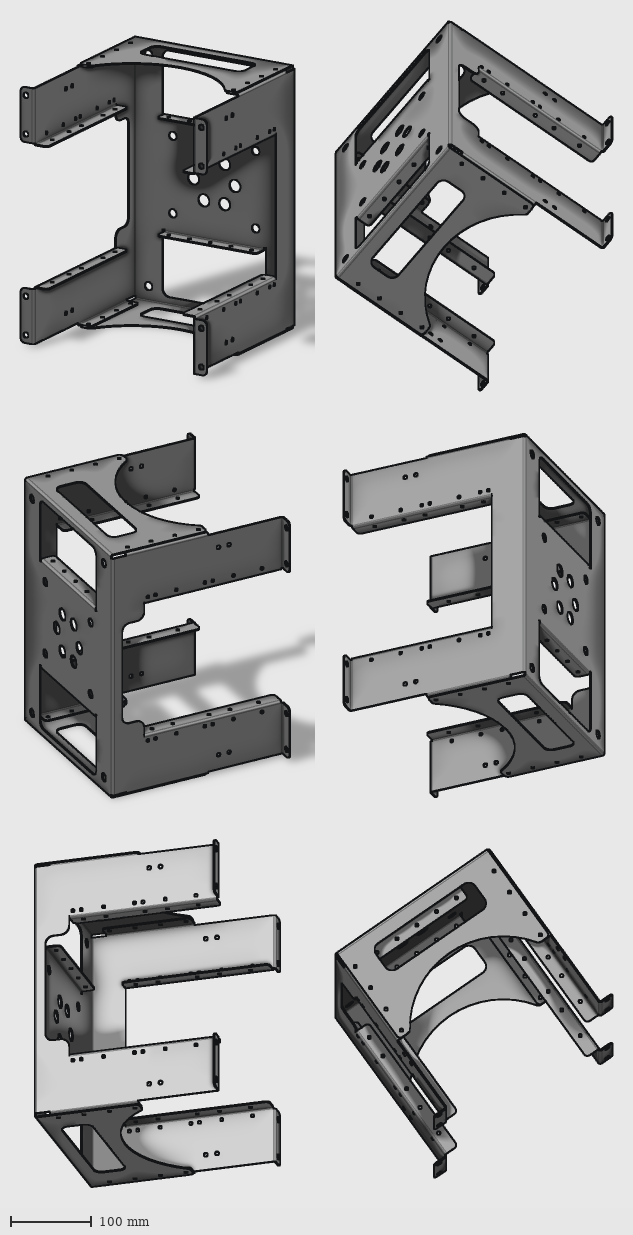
import cadquery as cq
import math

overall_width = 270.0
overall_depth = 240.0
overall_height = 341.2

sheet = 1.77
inner_bend = 1.3
outer_bend = inner_bend + sheet
corner_radius = 5.0
small_hole = 4.0

arc_middle = math.sqrt(0.5)

body_width = 234.0
flange_reach = (overall_width - body_width) / 2 + sheet
wall_half_height = overall_height / 2 - sheet - outer_bend
wall_edge_depth = overall_depth - outer_bend
end_plate_width = body_width - 2 * outer_bend
end_plate_depth = 134.8

arm_gap_half_height = 94.5
arm_gap_depth = 45.5
arm_mid_height = (arm_gap_half_height + wall_half_height) / 2

relief_depth = 14.7
relief_half_height = 70.3
relief_inner_radius = 10.0
relief_outer_radius = 11.0

opening_width = 150.0
opening_radius = 10.0
back_opening_top = 159.7
back_flange_height = 77.0
notch_width = 3.0
notch_bottom = 73.0
slot_start = 20.0
slot_end = 60.0
arch_depth = 81.2
arch_radius = 115.5

corner_hole_x = 95.2
corner_hole_z = 150.0
inner_hole_x = 60.0
inner_hole_z = 50.0
mount_hole = 11.0
ring_radius = 30.0
ring_hole = 16.0
ring_count = 6

back_flange_hole_count = 5
back_flange_hole_step = 30.0
back_flange_hole_inset = 11.0

arm_flange_hole_depths = (61.0, 90.0, 141.0, 170.0, 210.0)
wall_only_hole_depths = (50.0, 130.0)
arm_flange_hole_inset = 10.0
wall_hole_height = 100.5
pair_hole_depths = (149.0, 163.8)
pair_hole_height = 145.5
pair_hole = 5.0

joint_start = 20.0
joint_hole_count = 4
joint_hole_step = 33.0
joint_hole_inset = 12.0
joint_middle = -(joint_start + end_plate_depth) / 2

foot_hole = 7.0
foot_hole_count = 2
foot_hole_spacing = 50.0
foot_hole_inset = 12.0
foot_radius = 6.0


def u_channel(width, depth, length):
    """U-shaped sheet along Z: base on y = 0, both legs reaching to y = -depth."""
    outer = (
        cq.Workplane("XY")
        .box(width, depth, length)
        .edges("|Z and >Y")
        .fillet(outer_bend)
    )
    inner = (
        cq.Workplane("XY")
        .box(width - 2 * sheet, depth, length)
        .edges("|Z and >Y")
        .fillet(inner_bend)
        .translate((0, -sheet, 0))
    )
    return outer.cut(inner).translate((0, -depth / 2, 0))


def folded_flange(plane, length, hole_places, hole_inset, hole_diameter, radius):
    """Flange folded off a sheet edge.

    In the plane, the sheet face on the outside of the bend is x = 0, the sheet ends at y = 0
    and the flange folds toward +x. It runs along the plane normal, centred on the origin,
    with holes at the given places along that normal.
    """
    flange = (
        cq.Workplane("XY")
        .moveTo(0, 0)
        .threePointArc((outer_bend * (1 - arc_middle), outer_bend * arc_middle), (outer_bend, outer_bend))
        .lineTo(flange_reach, outer_bend)
        .lineTo(flange_reach, inner_bend)
        .lineTo(outer_bend, inner_bend)
        .threePointArc((outer_bend - inner_bend * arc_middle, inner_bend * arc_middle), (sheet, 0))
        .close()
        .extrude(length / 2, both=True)
        .edges("|Y and >X")
        .fillet(radius)
    )
    holes = (
        cq.Workplane("XZ")
        .pushPoints([(hole_inset, place) for place in hole_places])
        .circle(hole_diameter / 2)
        .extrude(-2 * outer_bend)
    )
    return cq.Workplane(flange.cut(holes).val().moved(cq.Location(plane)))


def row(count, step):
    """Evenly spaced places centred on zero."""
    return [(i - (count - 1) / 2) * step for i in range(count)]


def with_mirror(shape, plane):
    """Shape joined with its mirror image in the given plane."""
    return shape.union(shape.mirror(plane))


def walls():
    """Back panel with the two side walls, each split into an upper and a lower arm."""
    body = u_channel(body_width, wall_edge_depth, 2 * wall_half_height)

    gap_length = wall_edge_depth - arm_gap_depth
    gap = cq.Workplane("XY").box(2 * body_width, gap_length, 2 * arm_gap_half_height)
    body = body.cut(gap.translate((0, -arm_gap_depth - gap_length / 2, 0)))

    depths = arm_flange_hole_depths + wall_only_hole_depths
    rows = [(-depth, side * wall_hole_height) for depth in depths for side in (-1, 1)]
    pairs = [(-depth, side * pair_hole_height) for depth in pair_hole_depths for side in (-1, 1)]
    for places, diameter in ((rows, small_hole), (pairs, pair_hole)):
        holes = cq.Workplane("YZ").pushPoints(places).circle(diameter / 2)
        body = body.cut(holes.extrude(body_width, both=True))
    return body.cut(left_relief())


def left_relief():
    """Cutter deepening the left wall opening, flared where it meets the opening edge."""
    flare_start = -arm_gap_depth + relief_outer_radius
    flare_height = relief_half_height + relief_outer_radius
    arc_offset = relief_outer_radius * arc_middle
    pocket_depth = arm_gap_depth - relief_depth
    pocket = (
        cq.Workplane("YZ")
        .center(-relief_depth - pocket_depth, 0)
        .rect(2 * pocket_depth, 2 * relief_half_height)
        .extrude(-body_width)
        .edges("|X and >Y")
        .fillet(relief_inner_radius)
    )
    flare = (
        cq.Workplane("YZ")
        .moveTo(flare_start, relief_half_height)
        .threePointArc(
            (flare_start - arc_offset, flare_height - arc_offset),
            (-arm_gap_depth, flare_height),
        )
        .lineTo(-arm_gap_depth, relief_half_height)
        .close()
        .extrude(-body_width)
    )
    return pocket.union(with_mirror(flare, "XY"))


def end_plates():
    """Back panel with the top and bottom plates folded from it, before the back is pierced."""
    plates = u_channel(overall_height, end_plate_depth, end_plate_width)
    plates = plates.rotate((0, 0, 0), (0, 1, 0), 90)

    arch = cq.Workplane("XY").center(0, -arch_depth - arch_radius).circle(arch_radius)
    plates = plates.cut(arch.extrude(overall_height, both=True))
    plates = plates.edges("|Z").edges("<Y").fillet(corner_radius)

    slot = (
        cq.Workplane("XY")
        .box(opening_width, slot_end - slot_start, 2 * overall_height)
        .edges("|Z")
        .fillet(opening_radius)
        .translate((0, -(slot_start + slot_end) / 2, 0))
    )
    holes = (
        cq.Workplane("XY")
        .pushPoints([
            (side * (body_width / 2 - joint_hole_inset), joint_middle + place)
            for side in (-1, 1)
            for place in row(joint_hole_count, joint_hole_step)
        ])
        .circle(small_hole / 2)
        .extrude(overall_height, both=True)
    )
    return plates.cut(slot).cut(holes)


def back_openings():
    """Cutter for the upper and lower back openings, with bend-relief notches beside the flange."""
    flange_edge = back_flange_height - outer_bend
    height = back_opening_top - flange_edge
    opening = (
        cq.Workplane("XZ")
        .center(0, flange_edge + height / 2)
        .rect(opening_width, height)
        .extrude(2 * sheet, both=True)
        .edges("|Y and >Z")
        .fillet(opening_radius)
    )
    notches = (
        cq.Workplane("XZ")
        .pushPoints([
            (side * (opening_width - notch_width) / 2, (notch_bottom + back_flange_height) / 2)
            for side in (-1, 1)
        ])
        .rect(notch_width, back_flange_height - notch_bottom)
        .extrude(2 * sheet, both=True)
    )
    return with_mirror(opening.union(notches), "XY")


def back_holes():
    """Cutter for the mounting holes and the central ring of holes in the back panel."""
    ring = cq.Workplane("XZ").polarArray(ring_radius, 0, 360, ring_count).circle(ring_hole / 2)
    mounts = [
        (side * x, end * z)
        for x, z in ((corner_hole_x, corner_hole_z), (inner_hole_x, inner_hole_z))
        for side in (-1, 1)
        for end in (-1, 1)
    ]
    mount = cq.Workplane("XZ").pushPoints(mounts).circle(mount_hole / 2)
    return ring.extrude(2 * sheet, both=True).union(mount.extrude(2 * sheet, both=True))


def back_flange():
    """Flange along the lower edge of the upper back opening."""
    plane = cq.Plane((0, 0, back_flange_height - outer_bend), xDir=(0, -1, 0), normal=(-1, 0, 0))
    return folded_flange(
        plane, opening_width - 2 * notch_width, row(back_flange_hole_count, back_flange_hole_step),
        back_flange_hole_inset, small_hole, corner_radius,
    )


def joint_flange():
    """Flange of the right wall that lies under the top plate."""
    plane = cq.Plane((body_width / 2, joint_middle, wall_half_height), xDir=(-1, 0, 0), normal=(0, 1, 0))
    return folded_flange(
        plane, end_plate_depth - joint_start, row(joint_hole_count, joint_hole_step),
        joint_hole_inset, small_hole, corner_radius,
    )


def arm_flange():
    """Flange along the inner edge of the upper right arm."""
    middle = -(arm_gap_depth + wall_edge_depth) / 2
    plane = cq.Plane((body_width / 2, middle, arm_gap_half_height), xDir=(-1, 0, 0), normal=(0, -1, 0))
    places = [depth + middle for depth in arm_flange_hole_depths]
    return folded_flange(
        plane, wall_edge_depth - arm_gap_depth, places,
        arm_flange_hole_inset, small_hole, corner_radius,
    )


def foot():
    """Outward foot at the end of the upper right arm."""
    plane = cq.Plane(
        (body_width / 2 - sheet, -wall_edge_depth, arm_mid_height), xDir=(1, 0, 0), normal=(0, 0, -1)
    )
    return folded_flange(
        plane, wall_half_height - arm_gap_half_height, row(foot_hole_count, foot_hole_spacing),
        foot_hole_inset, foot_hole, foot_radius,
    )


corner_flanges = joint_flange().union(arm_flange()).union(foot())
side_flanges = with_mirror(with_mirror(corner_flanges, "YZ"), "XY")

result = (
    walls()
    .union(end_plates())
    .cut(back_openings())
    .cut(back_holes())
    .union(with_mirror(back_flange(), "XY"))
    .union(side_flanges)
)